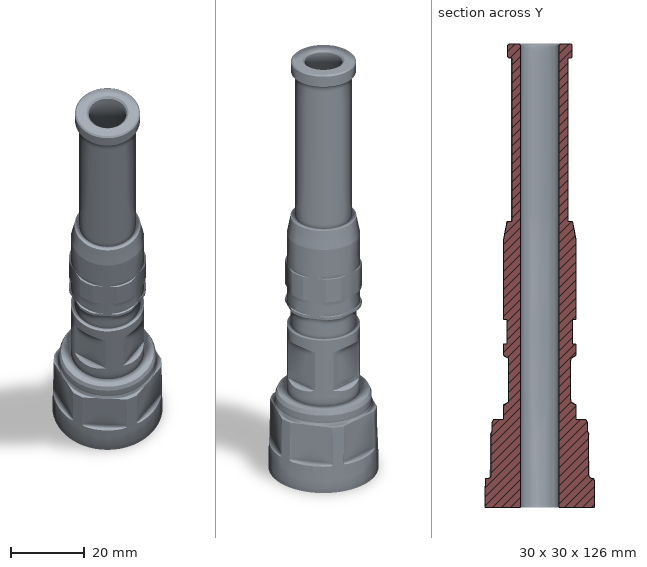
import cadquery as cq
import math

LENGTH = 126.0
BORE_RADIUS = 5.2
BORE_CHAMFER = 0.5

NUT_BASE_RADIUS = 15.0
NUT_TOP_RADIUS = 14.6
NUT_TOP = 19.9
GRIP_COUNT = 6
GRIP_APOTHEM = 13.4
GRIP_WIDTH = 12.6
GRIP_BOTTOM = 8.0
GRIP_FILLET = 0.8

COLLAR_RADIUS = 13.1
COLLAR_TOP = 24.0
COLLAR_FOOT_HEIGHT = 0.8
COLLAR_FOOT_WIDTH = 0.4
COLLAR_CHAMFER_HEIGHT = 1.1
COLLAR_CHAMFER_WIDTH = 0.5

BODY_RADIUS = 10.0
BODY_TOP = 44.5
BODY_FLAT_APOTHEM = 8.6
BODY_FLAT_BOTTOM = 28.7
BODY_FLAT_TOP = 40.5
BODY_FLAT_COUNT = 4
BODY_LEDGE_ANGLE = 30.0
PANEL_WIDTH = 8.0
PANEL_HEIGHT = 10.7
PANEL_DEPTH = 0.1

NECK_RADIUS = 9.0

SLEEVE_BOTTOM = 51.0
SLEEVE_RADIUS = 10.0
SLEEVE_SHOULDER = 72.5
SLEEVE_TOP = 77.8
SLEEVE_TOP_RADIUS = 9.0
HEX_SIDES = 6
HEX_CORNER_RADIUS = 10.5
RIM_HEIGHT = 0.9
BAND_BOTTOM = 56.4
BAND_TOP = 63.6

TUBE_RADIUS = 7.7
LIP_RADIUS = 8.8
LIP_HEIGHT = 3.9
LIP_CHAMFER = 0.4


def turned_body():
    """Revolve the stepped outer outline about Z."""
    lip_bottom = LENGTH - LIP_HEIGHT
    outline = [
        (0, 0),
        (NUT_BASE_RADIUS, 0),
        (NUT_TOP_RADIUS, NUT_TOP),
        (COLLAR_RADIUS + COLLAR_FOOT_WIDTH, NUT_TOP),
        (COLLAR_RADIUS, NUT_TOP + COLLAR_FOOT_HEIGHT),
        (COLLAR_RADIUS, COLLAR_TOP - COLLAR_CHAMFER_HEIGHT),
        (COLLAR_RADIUS - COLLAR_CHAMFER_WIDTH, COLLAR_TOP),
        (BODY_RADIUS, COLLAR_TOP),
        (BODY_RADIUS, BODY_TOP),
        (NECK_RADIUS, BODY_TOP),
        (NECK_RADIUS, SLEEVE_BOTTOM),
        (SLEEVE_RADIUS, SLEEVE_BOTTOM),
        (SLEEVE_RADIUS, SLEEVE_SHOULDER),
        (SLEEVE_TOP_RADIUS, SLEEVE_TOP),
        (TUBE_RADIUS, SLEEVE_TOP),
        (TUBE_RADIUS, lip_bottom),
        (LIP_RADIUS - LIP_CHAMFER, lip_bottom),
        (LIP_RADIUS, lip_bottom + LIP_CHAMFER),
        (LIP_RADIUS, LENGTH - LIP_CHAMFER),
        (LIP_RADIUS - LIP_CHAMFER, LENGTH),
        (0, LENGTH),
    ]
    return cq.Workplane("XZ").polyline(outline).close().revolve(360, (0, 0, 0), (0, 1, 0))


def hex_ring(bottom, top):
    """Six-sided ring with rounded corners, its flats level with the sleeve."""
    across_corners = 2 * SLEEVE_RADIUS / math.cos(math.pi / HEX_SIDES)
    ring_base = cq.Workplane("XY").workplane(offset=bottom)
    hexagon = ring_base.polygon(HEX_SIDES, across_corners).extrude(top - bottom)
    hexagon = hexagon.rotate((0, 0, 0), (0, 0, 1), 180 / HEX_SIDES)
    return hexagon.intersect(ring_base.circle(HEX_CORNER_RADIUS).extrude(top - bottom))


def cut_around(solid, cutter, count):
    """Remove the cutter at evenly spaced angles about Z, starting at +X."""
    for index in range(count):
        solid = solid.cut(cutter.rotate((0, 0, 0), (0, 0, 1), index * 360 / count))
    return solid


def grip_cutter():
    """Flat-floored grip pocket, rounded at its floor edges and open through the nut's top."""
    pocket_depth = NUT_BASE_RADIUS - GRIP_APOTHEM
    pocket = cq.Workplane("XY").box(
        pocket_depth, GRIP_WIDTH, NUT_TOP - GRIP_BOTTOM, centered=(False, True, False)
    )
    pocket = pocket.faces("<X").edges("not >Z").fillet(GRIP_FILLET)
    return pocket.translate((GRIP_APOTHEM, 0, GRIP_BOTTOM))


def body_flat_cutter():
    """Upright flat closed by a sloped ledge at each end."""
    ledge_rise = (BODY_RADIUS - BODY_FLAT_APOTHEM) * math.tan(math.radians(BODY_LEDGE_ANGLE))
    outline = [
        (BODY_FLAT_APOTHEM, BODY_FLAT_BOTTOM),
        (BODY_RADIUS, BODY_FLAT_BOTTOM - ledge_rise),
        (BODY_RADIUS, BODY_FLAT_TOP + ledge_rise),
        (BODY_FLAT_APOTHEM, BODY_FLAT_TOP),
    ]
    return cq.Workplane("XZ").polyline(outline).close().extrude(BODY_RADIUS, both=True)


def panel_recess():
    """Shallow rectangular panel in the -X body flat."""
    middle = (BODY_FLAT_BOTTOM + BODY_FLAT_TOP) / 2
    panel = cq.Workplane("XY").box(2 * PANEL_DEPTH, PANEL_WIDTH, PANEL_HEIGHT)
    return panel.translate((-BODY_FLAT_APOTHEM, 0, middle))


def bore():
    """Through bore with a chamfered mouth at the top."""
    outline = [
        (0, 0),
        (BORE_RADIUS, 0),
        (BORE_RADIUS, LENGTH - BORE_CHAMFER),
        (BORE_RADIUS + BORE_CHAMFER, LENGTH),
        (0, LENGTH),
    ]
    return cq.Workplane("XZ").polyline(outline).close().revolve(360, (0, 0, 0), (0, 1, 0))


result = turned_body()
result = result.union(hex_ring(SLEEVE_BOTTOM, SLEEVE_BOTTOM + RIM_HEIGHT))
result = result.union(hex_ring(BAND_BOTTOM, BAND_TOP))
result = cut_around(result, grip_cutter(), GRIP_COUNT)
result = cut_around(result, body_flat_cutter(), BODY_FLAT_COUNT)
result = result.cut(panel_recess())
result = result.cut(bore())